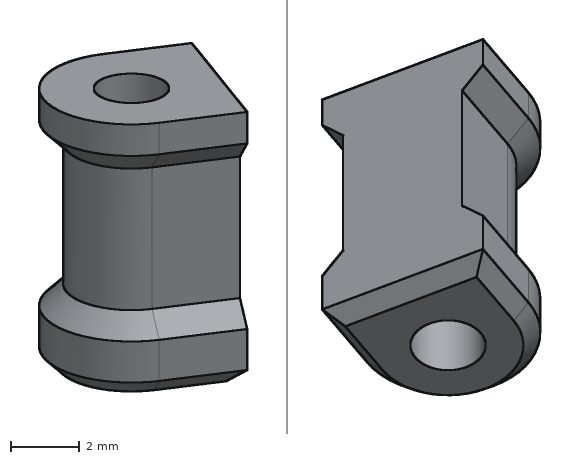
import cadquery as cq

height = 8.7
flange_width = 5.4
shaft_width = 4.0
hole_diameter = 2.2

bottom_chamfer = 0.5
base_top = 1.8
top_flange_thickness = 1.0

flange_radius = flange_width / 2
shaft_radius = shaft_width / 2
step = flange_radius - shaft_radius
flange_bottom = height - top_flange_thickness

profile = [
    (0, 0),
    (flange_radius - bottom_chamfer, 0),
    (flange_radius, bottom_chamfer),
    (flange_radius, base_top),
    (shaft_radius, base_top + step),
    (shaft_radius, flange_bottom - step),
    (flange_radius, flange_bottom),
    (flange_radius, height),
    (0, height),
]


def round_front():
    """Revolve the half profile about the Z axis."""
    return cq.Workplane("XZ").polyline(profile).close().revolve(360, (0, 0), (0, 1))


def straight_back():
    """Extrude the mirrored profile to the flat back face and bevel its bottom edge."""
    mirrored = [(-x, z) for x, z in reversed(profile[1:-1])]
    outline = profile[1:-1] + mirrored
    block = cq.Workplane("XZ").polyline(outline).close().extrude(-flange_radius)
    return block.faces(">Y").edges("<Z").chamfer(bottom_chamfer)


def through_hole():
    """Cylinder that clears the bore along the full height."""
    return cq.Workplane("XY").circle(hole_diameter / 2).extrude(height)


result = round_front().union(straight_back()).cut(through_hole())